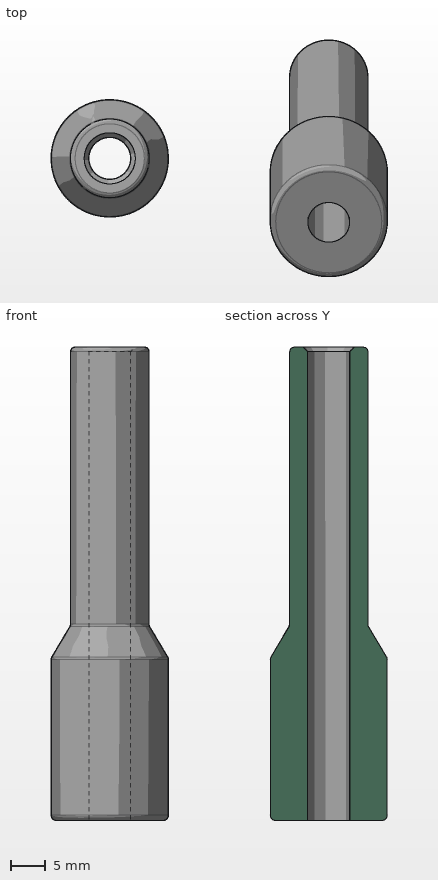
import cadquery as cq

total_height = 68.6
body_diameter = 17.0
stem_diameter = 11.4
bore_diameter = 6.05

shoulder_bottom = 23.5
shoulder_top = 28.25

body_edge_radius = 0.8
stem_edge_radius = 0.7
shoulder_blend_radius = 0.7
bore_chamfer = 0.7

body_radius = body_diameter / 2
stem_radius = stem_diameter / 2


def make_stepped_body():
    """Wide body, conical shoulder and slim stem, turned about Z."""
    half_profile = (
        cq.Workplane("XZ")
        .moveTo(0, 0)
        .lineTo(body_radius, 0)
        .lineTo(body_radius, shoulder_bottom)
        .lineTo(stem_radius, shoulder_top)
        .lineTo(stem_radius, total_height)
        .lineTo(0, total_height)
        .close()
    )
    return half_profile.revolve(360, (0, 0, 0), (0, 1, 0))


def round_outer_edges(body):
    """Round both ends and blend the shoulder into its neighbours."""
    body = body.faces("<Z").edges().fillet(body_edge_radius)
    body = body.faces(">Z").edges().fillet(stem_edge_radius)
    shoulder_edges = body.faces("%CONE").edges("%CIRCLE")
    return shoulder_edges.fillet(shoulder_blend_radius)


def cut_bore(body):
    """Through bore with a chamfered mouth at the top."""
    body = body.faces(">Z").workplane(origin=(0, 0, 0)).hole(bore_diameter)
    return body.faces(">Z").edges("%CIRCLE").edges(cq.selectors.RadiusNthSelector(0)).chamfer(bore_chamfer)


result = cut_bore(round_outer_edges(make_stepped_body()))